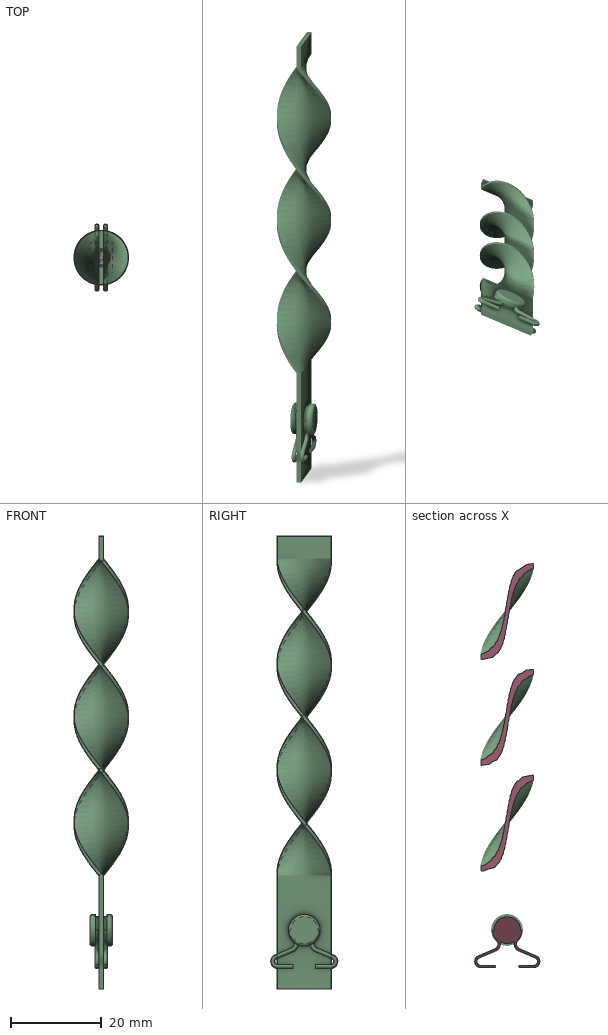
import cadquery as cq
import math

strip_length = 100.0
strip_width = 12.0
strip_thickness = 1.0
tail_length = 25.0
tip_length = 5.0
twist_length = strip_length - tail_length - tip_length
twist_angle = -3 * 180.0

button_height = 13.0
cap_radius = 3.5
cap_inner_x = 1.3
cap_outer_x = 2.5
cap_rounding = 0.6
stem_radius = 3.0

face_x = strip_thickness / 2
wire_diameter = 0.9
wire_x = face_x + wire_diameter / 2
clip_width = 14.8
bend_radius = 1.1
bend_y = clip_width / 2 - wire_diameter / 2 - bend_radius
foot_z = 5.0
foot_end_y = 2.5
bend_z = foot_z + bend_radius
arm_slope = math.radians(23)
knee_radius = 1.4
hoop_radius = stem_radius


def make_strip():
    def profile(z):
        return cq.Workplane("XY", origin=(0, 0, z)).rect(strip_thickness, strip_width)

    tail = profile(0).extrude(tail_length)
    twist = profile(tail_length).twistExtrude(twist_length, twist_angle)
    tip = profile(strip_length - tip_length).extrude(tip_length)
    return tail.union(twist).union(tip)


def make_button():
    stem = (
        cq.Workplane("YZ", origin=(face_x, 0, button_height))
        .circle(stem_radius)
        .extrude(cap_inner_x - face_x)
    )
    cap = (
        cq.Workplane("YZ", origin=(cap_inner_x, 0, button_height))
        .circle(cap_radius)
        .extrude(cap_outer_x - cap_inner_x)
        .faces(">X").edges().fillet(cap_rounding)
    )
    return stem.union(cap)


def make_wire_leg():
    normal_y = math.sin(arm_slope)
    normal_z = math.cos(arm_slope)

    arm_start_y = bend_y + bend_radius * normal_y
    arm_start_z = bend_z + bend_radius * normal_z

    parallel_y = arm_start_y + knee_radius * normal_y
    parallel_z = arm_start_z + knee_radius * normal_z
    rise = button_height - parallel_z
    along = parallel_y * normal_z + rise * normal_y
    across = parallel_y * normal_y - rise * normal_z
    arm_length = along - math.sqrt((hoop_radius + knee_radius) ** 2 - across**2)
    knee_y = arm_start_y - arm_length * normal_z
    knee_z = arm_start_z + arm_length * normal_y
    centre_y = knee_y + knee_radius * normal_y
    centre_z = knee_z + knee_radius * normal_z

    hoop_share = hoop_radius / (hoop_radius + knee_radius)
    hoop_start_y = centre_y * hoop_share
    hoop_start_z = button_height + (centre_z - button_height) * hoop_share

    path = (
        cq.Workplane("YZ", origin=(wire_x, 0, 0))
        .moveTo(foot_end_y, foot_z)
        .lineTo(bend_y, foot_z)
        .threePointArc((bend_y + bend_radius, bend_z), (arm_start_y, arm_start_z))
        .lineTo(knee_y, knee_z)
        .tangentArcPoint((hoop_start_y, hoop_start_z), relative=False)
        .tangentArcPoint((hoop_radius, button_height), relative=False)
    )
    return (
        cq.Workplane("XZ", origin=(wire_x, foot_end_y, foot_z))
        .circle(wire_diameter / 2)
        .sweep(path)
    )


def make_clip():
    leg = make_wire_leg()
    return make_button().union(leg).union(leg.mirror("XZ"))


strip = make_strip()
clips = []
for turn in (0, 180):
    clips.append(make_clip().rotate((0, 0, 0), (0, 0, 1), turn))

result = cq.Compound.makeCompound([strip.val(), *[clip.val() for clip in clips]])